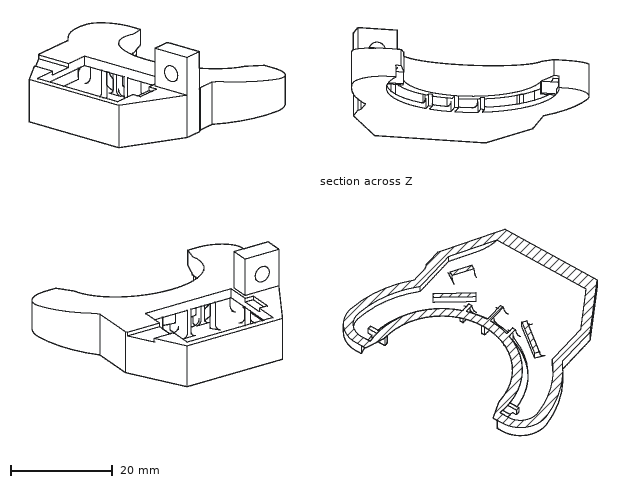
import cadquery as cq
import math

BODY_HEIGHT = 9.0
BACK_Y = 4.2
FRONT_Y = -36.8
BODY_HALF_WIDTH = 18.0
FRONT_HALF_WIDTH = 11.2
SHOULDER_Y = -25.0
TAPER = math.atan2(SHOULDER_Y - FRONT_Y, BODY_HALF_WIDTH - FRONT_HALF_WIDTH)
WALL = 2.0

ARM_RADIUS = 23.89
BORE_RADIUS = 13.9
TIP_RADIUS = 6.0
TIP_FLAT_X = 15.45
SLOPE_START_Y = -14.87
TIP_HEIGHT = 5.7

RECESS_RADIUS = 17.0
RECESS_HEIGHT = 2.4
LIP_RADIUS = BORE_RADIUS + WALL

LUG_X_MAX = 18.45
LUG_BACK_Y = -20.3
LUG_WIDTH = 8.0
LUG_DEPTH = 4.0
LUG_TOP = 17.0
LUG_HOLE_DIAMETER = 3.3
LUG_HOLE_X = 14.5
LUG_HOLE_Z = 12.6
LUG_CHAMFER = 0.9

FLOOR = 1.0
OPENING_X_MIN = -10.25
OPENING_X_MAX = 9.8
OPENING_BACK_Y = -20.3
OPENING_FRONT_Y = -35.4
FLOOR_CURVE_RADIUS = 5.6

CHANNEL_BACK_Y = -25.4
CHANNEL_WIDTH = 5.1
CHANNEL_DEPTH = 0.8
RIGHT_RECESS_LENGTH = 1.9

RIB_FOOT_RADIUS = 1.1
LOCATING_RIB_THICKNESS = 0.8
ARM_RIB_Y = -0.6
CENTER_RIB_FRONT_Y = -20.3
FLANK_RIB_X = 5.3
FLANK_RIB_FRONT_Y = -17.0
POST_THICKNESS = 1.1
SLANTED_POST_X = 5.85
SLANTED_POST_Y = -19.7
SLANTED_POST_ANGLE = 37.0
SLANTED_POST_LENGTH = 8.5
SIDE_POST_X = 10.55
SIDE_POST_Y = -25.2
SIDE_POST_ANGLE = 58.0
SIDE_POST_LENGTH = 4.7


def box(x_min, x_max, y_min, y_max, z_min, z_max):
    """Axis-aligned box given by its limits."""
    size = (x_max - x_min, y_max - y_min, z_max - z_min)
    return cq.Workplane("XY").box(*size, centered=False).translate((x_min, y_min, z_min))


def cylinder(radius, height):
    """Upright cylinder on the bore axis, standing on the base plane."""
    return cq.Workplane("XY").circle(radius).extrude(height)


def plan_outline(inset, front_inset):
    """Plan outline of the fork and tapered body, outer edges moved inward by the inset."""
    back_y = BACK_Y - inset
    front_y = FRONT_Y + front_inset
    side_x = BODY_HALF_WIDTH - inset
    arm_radius = ARM_RADIUS - inset
    tip_radius = TIP_RADIUS - inset

    front_x = FRONT_HALF_WIDTH + front_inset / math.tan(TAPER) - inset / math.sin(TAPER)
    shoulder_y = front_y + (side_x - front_x) * math.tan(TAPER)

    tip_y = BACK_Y - TIP_RADIUS
    tip_x = math.sqrt((ARM_RADIUS - TIP_RADIUS) ** 2 - tip_y ** 2)
    tangent_angle = math.atan2(tip_y, tip_x)
    tangent_x = arm_radius * math.cos(tangent_angle)
    tangent_y = arm_radius * math.sin(tangent_angle)
    tip_mid_angle = (tangent_angle + math.pi / 2) / 2
    tip_mid_x = tip_x + tip_radius * math.cos(tip_mid_angle)
    tip_mid_y = tip_y + tip_radius * math.sin(tip_mid_angle)

    root_y = -math.sqrt(arm_radius ** 2 - side_x ** 2)
    arm_mid_angle = (tangent_angle + math.atan2(root_y, side_x)) / 2
    arm_mid_x = arm_radius * math.cos(arm_mid_angle)
    arm_mid_y = arm_radius * math.sin(arm_mid_angle)
    return (
        cq.Workplane("XY")
        .moveTo(-front_x, front_y)
        .lineTo(front_x, front_y)
        .lineTo(side_x, shoulder_y)
        .lineTo(side_x, root_y)
        .threePointArc((arm_mid_x, arm_mid_y), (tangent_x, tangent_y))
        .threePointArc((tip_mid_x, tip_mid_y), (tip_x, back_y))
        .lineTo(TIP_FLAT_X, back_y)
        .lineTo(BORE_RADIUS, 0)
        .threePointArc((0, -BORE_RADIUS), (-BORE_RADIUS, 0))
        .lineTo(-TIP_FLAT_X, back_y)
        .lineTo(-tip_x, back_y)
        .threePointArc((-tip_mid_x, tip_mid_y), (-tangent_x, tangent_y))
        .threePointArc((-arm_mid_x, arm_mid_y), (-side_x, root_y))
        .lineTo(-side_x, shoulder_y)
        .close()
    )


def side_profile(z_bottom, drop):
    """Slab across the whole part whose top follows the roof, lowered by drop."""
    return (
        cq.Workplane("YZ")
        .polyline([
            (FRONT_Y, z_bottom),
            (BACK_Y, z_bottom),
            (BACK_Y, TIP_HEIGHT - drop),
            (SLOPE_START_Y, BODY_HEIGHT - drop),
            (FRONT_Y, BODY_HEIGHT - drop),
        ])
        .close()
        .extrude(ARM_RADIUS + WALL, both=True)
    )


def make_lug():
    """Lug standing on the right shoulder, with its column down to the base."""
    front_y = LUG_BACK_Y - LUG_DEPTH
    lug = box(LUG_X_MAX - LUG_WIDTH, LUG_X_MAX, front_y, LUG_BACK_Y, BODY_HEIGHT, LUG_TOP)
    hole = (
        cq.Workplane("XZ", origin=(LUG_HOLE_X, LUG_BACK_Y, LUG_HOLE_Z))
        .circle(LUG_HOLE_DIAMETER / 2)
        .extrude(LUG_DEPTH)
    )
    column_y = SHOULDER_Y + (LUG_X_MAX - BODY_HALF_WIDTH) * math.tan(TAPER)
    column = (
        cq.Workplane("XY")
        .polyline([
            (BODY_HALF_WIDTH, SHOULDER_Y),
            (LUG_X_MAX, column_y),
            (LUG_X_MAX, LUG_BACK_Y),
            (BODY_HALF_WIDTH, LUG_BACK_Y + LUG_CHAMFER),
        ])
        .close()
        .extrude(BODY_HEIGHT)
    )
    return lug.cut(hole).union(column)


def make_cavity():
    """Hollow between the floor, the roof, the outer wall and the fork lip."""
    inside = plan_outline(WALL, OPENING_FRONT_Y - FRONT_Y).extrude(BODY_HEIGHT)
    inside = inside.intersect(side_profile(FLOOR, WALL))
    return inside.cut(cylinder(LIP_RADIUS, BODY_HEIGHT))


def make_floor_curve():
    """Concave rounding where the cavity floor rises into the front wall."""
    rear_y = OPENING_FRONT_Y + FLOOR_CURVE_RADIUS
    top_z = FLOOR + FLOOR_CURVE_RADIUS
    middle = FLOOR_CURVE_RADIUS * math.sqrt(0.5)
    return (
        cq.Workplane("YZ")
        .moveTo(OPENING_FRONT_Y, FLOOR)
        .lineTo(rear_y, FLOOR)
        .threePointArc((rear_y - middle, top_z - middle), (OPENING_FRONT_Y, top_z))
        .close()
        .extrude(BODY_HALF_WIDTH, both=True)
    )


def make_rib(x, y, angle, length, thickness):
    """Upright rib running from (x, y) along the angle, from the base to the roof."""
    return (
        cq.Workplane("XY")
        .rect(length, thickness)
        .extrude(BODY_HEIGHT - WALL)
        .translate((length / 2, 0, 0))
        .rotate((0, 0, 0), (0, 0, 1), angle)
        .translate((x, y, 0))
    )


def make_foot(x, y, angle, length, thickness, side):
    """Concave foot where a rib meets the floor; side is 1 for its left, -1 for its right."""
    inner = side * thickness / 2
    outer = inner + side * RIB_FOOT_RADIUS
    arc = RIB_FOOT_RADIUS * (1 - math.sqrt(0.5))
    return (
        cq.Workplane("YZ")
        .moveTo(0, FLOOR)
        .lineTo(outer, FLOOR)
        .threePointArc((inner + side * arc, FLOOR + arc), (inner, FLOOR + RIB_FOOT_RADIUS))
        .lineTo(0, FLOOR + RIB_FOOT_RADIUS)
        .close()
        .extrude(length)
        .rotate((0, 0, 0), (0, 0, 1), angle)
        .translate((x, y, 0))
    )


def make_footed_rib(x, y, angle, length, thickness, sides):
    """Rib with a concave foot along each of the given sides."""
    rib = make_rib(x, y, angle, length, thickness)
    for side in sides:
        rib = rib.union(make_foot(x, y, angle, length, thickness, side))
    return rib


def make_posts():
    """Slanted posts standing on the cavity floor: a mirrored pair and one at the right side."""
    posts = make_footed_rib(
        SIDE_POST_X, SIDE_POST_Y, SIDE_POST_ANGLE, SIDE_POST_LENGTH, POST_THICKNESS, (1, -1)
    )
    for hand in (1, -1):
        angle = 90 - hand * (90 - SLANTED_POST_ANGLE)
        post = make_footed_rib(
            hand * SLANTED_POST_X, SLANTED_POST_Y, angle, SLANTED_POST_LENGTH, POST_THICKNESS, (-hand,)
        )
        posts = posts.union(post)
    return posts


def front_rib_places():
    """Start point and length of the ribs that run back to the fork lip."""
    places = [(0, CENTER_RIB_FRONT_Y, -BORE_RADIUS - CENTER_RIB_FRONT_Y)]
    lip_y = -math.sqrt(LIP_RADIUS ** 2 - FLANK_RIB_X ** 2)
    for x in (-FLANK_RIB_X, FLANK_RIB_X):
        places.append((x, FLANK_RIB_FRONT_Y, lip_y + WALL / 2 - FLANK_RIB_FRONT_Y))
    return places


def make_front_ribs():
    """Ribs that run back to the fork lip, with their feet on the cavity floor."""
    ribs = cq.Workplane("XY")
    for x, y, length in front_rib_places():
        ribs = ribs.add(make_footed_rib(x, y, 90, length, LOCATING_RIB_THICKNESS, (1, -1)))
    return ribs.combine()


def make_recess_ribs():
    """Ribs that cross the recess under the fork lip, down to the base plane."""
    length = RECESS_RADIUS + WALL / 2 - BORE_RADIUS
    ribs = make_rib(BORE_RADIUS, ARM_RIB_Y, 0, length, LOCATING_RIB_THICKNESS)
    ribs = ribs.union(make_rib(-BORE_RADIUS, ARM_RIB_Y, 180, length, LOCATING_RIB_THICKNESS))
    for x, y, rib_length in front_rib_places():
        ribs = ribs.union(make_rib(x, y, 90, rib_length, LOCATING_RIB_THICKNESS))
    ring = cylinder(RECESS_RADIUS + WALL, RECESS_HEIGHT).cut(cylinder(BORE_RADIUS, RECESS_HEIGHT))
    return ribs.intersect(ring)


cavity = make_cavity()
interior = make_floor_curve().union(make_posts()).union(make_front_ribs()).intersect(cavity)

body = plan_outline(0, 0).extrude(BODY_HEIGHT).intersect(side_profile(0, 0))
body = body.cut(cavity).union(interior)
body = body.cut(cylinder(RECESS_RADIUS, RECESS_HEIGHT)).union(make_recess_ribs())
body = body.union(make_lug()).clean()

roof_bottom = BODY_HEIGHT - WALL
opening = box(
    OPENING_X_MIN, OPENING_X_MAX, OPENING_FRONT_Y, OPENING_BACK_Y, roof_bottom, BODY_HEIGHT
)
channel = box(
    -BODY_HALF_WIDTH, OPENING_X_MAX + RIGHT_RECESS_LENGTH,
    CHANNEL_BACK_Y - CHANNEL_WIDTH, CHANNEL_BACK_Y,
    BODY_HEIGHT - CHANNEL_DEPTH, BODY_HEIGHT,
)
result = body.cut(opening).cut(channel).solids()